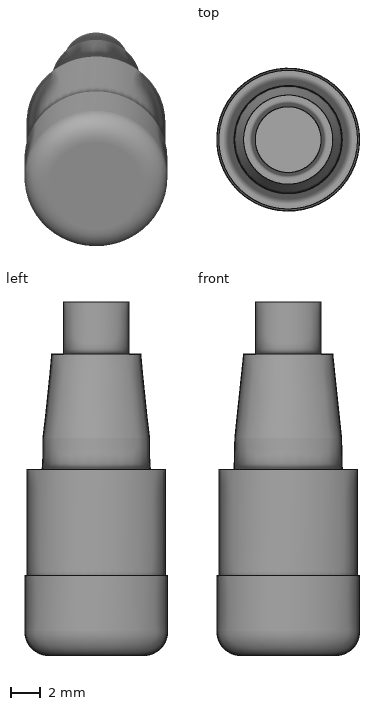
import cadquery as cq

total_height = 23.6
cap_height = 5.33
sleeve_top = 12.41
collar_top = 14.5
taper_top = 20.1

cap_radius = 4.77
sleeve_radius = 4.63
collar_base_radius = 3.6
collar_top_radius = 3.56
taper_top_radius = 2.97
stem_radius = 2.2

bottom_round = 1.6


def make_cap():
    """Short cylinder with a rounded bottom edge."""
    cap = cq.Workplane("XY").circle(cap_radius).extrude(cap_height)
    return cap.faces("<Z").edges().fillet(bottom_round)


def make_plug():
    """Sleeve, slightly drafted collar, tapered neck and stem, turned about Z and standing on the cap."""
    profile = [
        (0, cap_height),
        (sleeve_radius, cap_height),
        (sleeve_radius, sleeve_top),
        (collar_base_radius, sleeve_top),
        (collar_top_radius, collar_top),
        (taper_top_radius, taper_top),
        (stem_radius, taper_top),
        (stem_radius, total_height),
        (0, total_height),
    ]
    return cq.Workplane("XZ").polyline(profile).close().revolve(360, (0, 0, 0), (0, 1, 0))


cap = make_cap()
plug = make_plug()

result = cq.Compound.makeCompound([cap.val(), plug.val()])